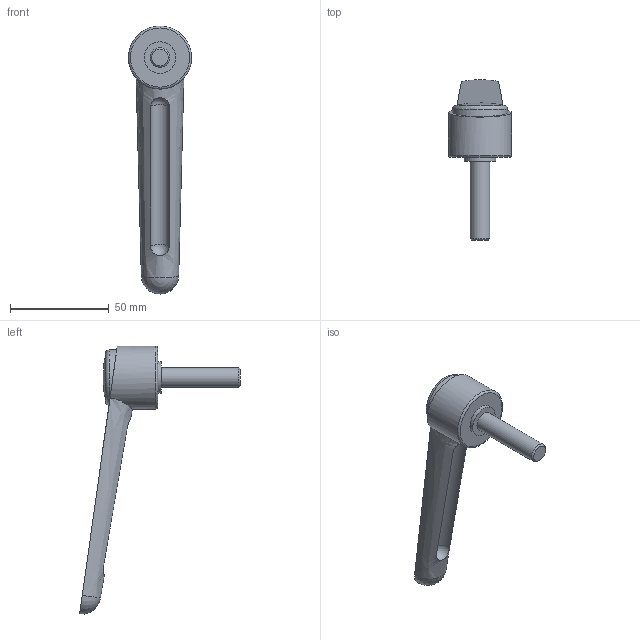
import cadquery as cq
import math


hub_radius = 16.0
hub_edge_round = 1.0

collar_radius = 8.0
collar_length = 2.0
stud_radius = 5.0
stud_length = 40.0
stud_chamfer = 0.8

cap_radius = 14.0
cap_wall_end = 24.3
cap_shoulder_radius = 13.0
cap_shoulder_end = 26.2
cap_shoulder_mid_radius = 13.7
cap_shoulder_mid = 25.5
cap_crown = 27.6

lean_angle = 8.0
lowest_z = -120.02
rearmost_y = 39.5
handle_root_radius = 12.4
handle_tip_half_width = 9.5
handle_tip_depth = 9.3

groove_radius = 4.7
groove_start_z = -24.8
groove_end_z = -95.7

lean = math.radians(lean_angle)
tip_drop = math.hypot(handle_tip_half_width * math.cos(lean), handle_tip_depth * math.sin(lean))
tip_start = (-lowest_z - tip_drop) / math.cos(lean)
handle_length = tip_start + handle_tip_half_width
back_y = rearmost_y - handle_length * math.sin(lean)


def handle_plane(distance):
    """Cross-section plane of the handle: local X is across it, local Y points out of its front."""
    origin = (0, back_y + distance * math.sin(lean), -distance * math.cos(lean))
    along_handle = (0, math.sin(lean), -math.cos(lean))
    return cq.Plane(origin=origin, xDir=(1, 0, 0), normal=along_handle)


def depth_at(distance):
    """Depth of the handle at its centreline."""
    return handle_root_radius + (handle_tip_depth - handle_root_radius) * distance / tip_start


def half_width_at(distance):
    """Half the width of the handle at its flat back."""
    return handle_root_radius + (handle_tip_half_width - handle_root_radius) * distance / tip_start


def handle_ellipse(distance, start_angle, end_angle):
    """Arc of the elliptical handle section; angles in degrees, 90 at the front."""
    plane = handle_plane(distance)
    return cq.Edge.makeEllipse(
        half_width_at(distance),
        depth_at(distance),
        plane.origin,
        plane.zDir,
        plane.xDir,
        start_angle,
        end_angle,
    )


def make_space_behind_back():
    """Block behind the leaning plane that is the flat back of both the hub and the handle."""
    out_of_back = handle_plane(0).yDir.multiply(-1)
    back_plane = cq.Plane(origin=(0, back_y, 0), xDir=(1, 0, 0), normal=out_of_back)
    block_width = 4 * hub_radius
    block_height = 4 * handle_length
    block_depth = 2 * hub_radius
    return cq.Workplane(back_plane).rect(block_width, block_height).extrude(block_depth)


def make_hub():
    return (
        cq.Workplane("XZ")
        .circle(hub_radius)
        .extrude(-cap_crown)
        .faces("<Y")
        .edges()
        .fillet(hub_edge_round)
    )


def make_cap():
    """Domed cap, carried on a core that fills the hub from just inside its front face."""
    profile = (
        cq.Workplane("XY")
        .moveTo(0, hub_edge_round)
        .lineTo(cap_radius, hub_edge_round)
        .lineTo(cap_radius, cap_wall_end)
        .threePointArc(
            (cap_shoulder_mid_radius, cap_shoulder_mid), (cap_shoulder_radius, cap_shoulder_end)
        )
        .radiusArc((0, cap_crown), -dome_radius())
        .close()
    )
    return profile.revolve(360, (0, 0, 0), (0, 1, 0))


def dome_radius():
    """Radius of the shallow dome whose apex lies on the stud axis."""
    rise = cap_crown - cap_shoulder_end
    return (cap_shoulder_radius**2 + rise**2) / (2 * rise)


def make_stud():
    collar = cq.Workplane("XZ").circle(collar_radius).extrude(collar_length)
    stud = (
        cq.Workplane("XZ")
        .circle(stud_radius)
        .extrude(collar_length + stud_length)
        .faces("<Y")
        .chamfer(stud_chamfer)
    )
    return collar.union(stud)


def make_handle():
    """Tapered elliptical bar with a rounded end; its back half is still in place."""
    sections = [
        cq.Wire.assembleEdges([handle_ellipse(distance, 0, 360)]) for distance in (0, tip_start)
    ]
    bar = cq.Solid.makeLoft(sections, True)
    plane = handle_plane(tip_start)
    front = plane.toWorldCoords((0, handle_tip_depth))
    back = plane.toWorldCoords((0, -handle_tip_depth))
    arc = handle_ellipse(tip_start, -90, 90)
    half = cq.Wire.assembleEdges([arc, cq.Edge.makeLine(front, back)])
    tip = cq.Solid.revolve(half, [], 180, front, back)
    return cq.Workplane(bar).union(cq.Workplane(tip))


def groove_center(z):
    """Point on the groove axis at height z, level with the two edges the groove leaves."""
    half_width = half_width_at(-z)
    edge_height = depth_at(-z) * math.sqrt(1 - (groove_radius / half_width) ** 2)
    distance = (-z - edge_height * math.sin(lean)) / math.cos(lean)
    return handle_plane(distance).toWorldCoords((0, edge_height))


def make_groove():
    start = groove_center(groove_start_z)
    end = groove_center(groove_end_z)
    axis = end - start
    channel = cq.Workplane(cq.Solid.makeCylinder(groove_radius, axis.Length, start, axis))
    for center in (start, end):
        ball = cq.Workplane("XY").sphere(groove_radius).translate(center)
        channel = channel.union(ball)
    return channel


handle = make_handle().cut(make_groove())
body = make_hub().union(handle).cut(make_space_behind_back())
result = body.union(make_cap()).union(make_stud())